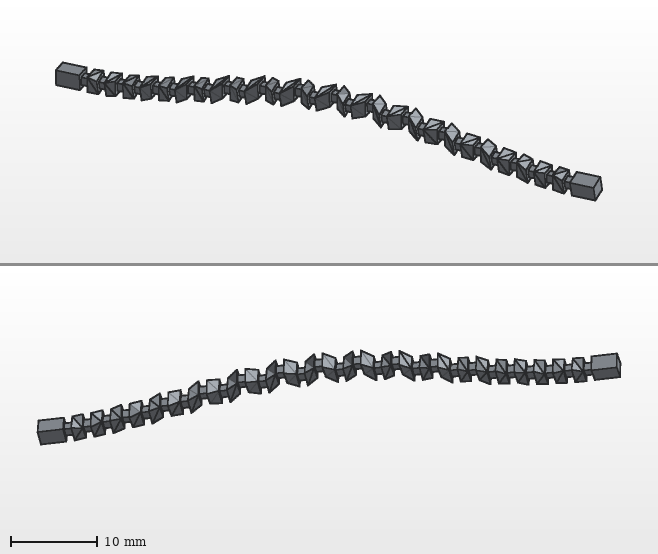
import cadquery as cq
import math

total_length = 68.7
end_block_length = 3.0
link_count = 27
link_length = 1.3
neck_count = link_count + 1
neck_length = (total_length - 2 * end_block_length - link_count * link_length) / neck_count
pitch = link_length + neck_length
first_neck_x = -total_length / 2 + end_block_length

link_side = 2.0
neck_side = 1.0

arch_height = 4.95
neck_drop = 0.035
even_swing = 2.5
odd_swing = 15.0


def neck_start(index):
    return first_neck_x + index * pitch


def neck_rise(index):
    """Height of a neck: an arch level at both ends, set slightly below the end-block axis."""
    return arch_height * math.sin(math.pi * index / neck_count) ** 2 - neck_drop


def swing_of(index):
    return odd_swing if index % 2 else even_swing


def square_corners(x, index, side):
    """Corners of a square section at x, raised to the height of its neck and then swung."""
    half = side / 2
    rise = neck_rise(index)
    angle = math.radians(swing_of(index))
    corners = []
    for y, z in [(-half, -half), (half, -half), (half, half), (-half, half)]:
        height = z + rise
        swung_y = y * math.cos(angle) - height * math.sin(angle)
        swung_z = y * math.sin(angle) + height * math.cos(angle)
        corners.append(cq.Vector(x, swung_y, swung_z))
    return corners


def flat_face(*corners):
    return cq.Face.makeFromWires(cq.Wire.makePolygon(list(corners), close=True))


def solid_from_faces(faces):
    return cq.Solid.makeSolid(cq.Shell.makeShell(faces))


def neck(index):
    """Square bar between two neighbouring links, or between a link and an end block."""
    start = neck_start(index)
    left = square_corners(start, index, neck_side)
    right = square_corners(start + neck_length, index, neck_side)
    faces = [flat_face(*left), flat_face(*right)]
    for corner in range(4):
        following = (corner + 1) % 4
        faces.append(flat_face(left[corner], left[following], right[following], right[corner]))
    return solid_from_faces(faces)


def link(index):
    """Skewed block joining neck `index` to the next; each long side is folded into two triangles."""
    start = neck_start(index) + neck_length
    left = square_corners(start, index, link_side)
    right = square_corners(start + link_length, index + 1, link_side)
    faces = [flat_face(*left), flat_face(*right)]
    for odd in (1, 3):
        for even in (0, 2):
            faces.append(flat_face(left[odd], left[even], right[even]))
            faces.append(flat_face(left[odd], right[odd], right[even]))
    return solid_from_faces(faces)


def end_block(direction, swing):
    """Square bar at one end of the chain, swung like the neck it holds."""
    centre_x = direction * (total_length - end_block_length) / 2
    block = cq.Workplane("XY").box(end_block_length, link_side, link_side)
    return block.rotate((0, 0, 0), (1, 0, 0), swing).translate((centre_x, 0, 0)).val()


left_block = end_block(-1, swing_of(0))
right_block = end_block(1, swing_of(neck_count - 1))
necks = [neck(index) for index in range(neck_count)]
links = [link(index) for index in range(link_count)]
chain = left_block.fuse(right_block, *necks, *links)
result = cq.Workplane("XY").newObject(chain.Solids())